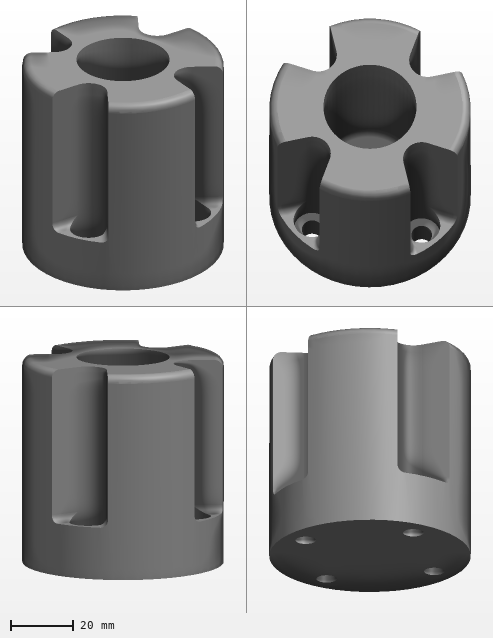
import cadquery as cq
import math

body_diameter = 65.0
body_height = 67.0
rim_radius = 2.7

floor_height = 17.0
bore_diameter = 30.0
bore_floor_radius = 1.95

slot_count = 4
bolt_circle_radius = 25.0
slot_diameter = 12.0
bolt_hole_diameter = 6.6
pocket_floor_height = 10.0
flare_angle = 29.0
flare_floor_radius = 2.5

slot_depth = body_height - floor_height


def make_body():
    """Solid cylinder with a rounded top rim."""
    body = cq.Workplane("XY").circle(body_diameter / 2).extrude(body_height)
    return body.faces(">Z").edges().fillet(rim_radius)


def make_bore():
    """Cutter for the central bore, rounded at its floor."""
    bore = cq.Workplane("XY").workplane(offset=floor_height)
    bore = bore.circle(bore_diameter / 2).extrude(slot_depth)
    return bore.faces("<Z").edges().fillet(bore_floor_radius)


def make_slot():
    """Cutter for the slot on +X: sunken round pocket, bolt hole and tangent flared walls."""
    angle = math.radians(flare_angle)
    slot_radius = slot_diameter / 2
    tangent_x = bolt_circle_radius - slot_radius * math.sin(angle)
    tangent_y = slot_radius * math.cos(angle)
    outer_x = body_diameter / 2 + slot_radius
    outer_y = tangent_y + (outer_x - tangent_x) * math.tan(angle)

    flare = (
        cq.Workplane("XY")
        .workplane(offset=floor_height)
        .moveTo(tangent_x, -tangent_y)
        .lineTo(outer_x, -outer_y)
        .lineTo(outer_x, outer_y)
        .lineTo(tangent_x, tangent_y)
        .close()
        .extrude(slot_depth)
    )
    flare = flare.faces("<Z").edges("not |Y").fillet(flare_floor_radius)

    pocket = (
        cq.Workplane("XY")
        .workplane(offset=pocket_floor_height)
        .center(bolt_circle_radius, 0)
        .circle(slot_radius)
        .extrude(body_height - pocket_floor_height)
    )
    bolt_hole = (
        cq.Workplane("XY")
        .center(bolt_circle_radius, 0)
        .circle(bolt_hole_diameter / 2)
        .extrude(body_height)
    )
    return flare.union(pocket).union(bolt_hole)


result = make_body().cut(make_bore())
slot = make_slot()
for index in range(slot_count):
    turn = index * 360 / slot_count
    result = result.cut(slot.rotate((0, 0, 0), (0, 0, 1), turn))